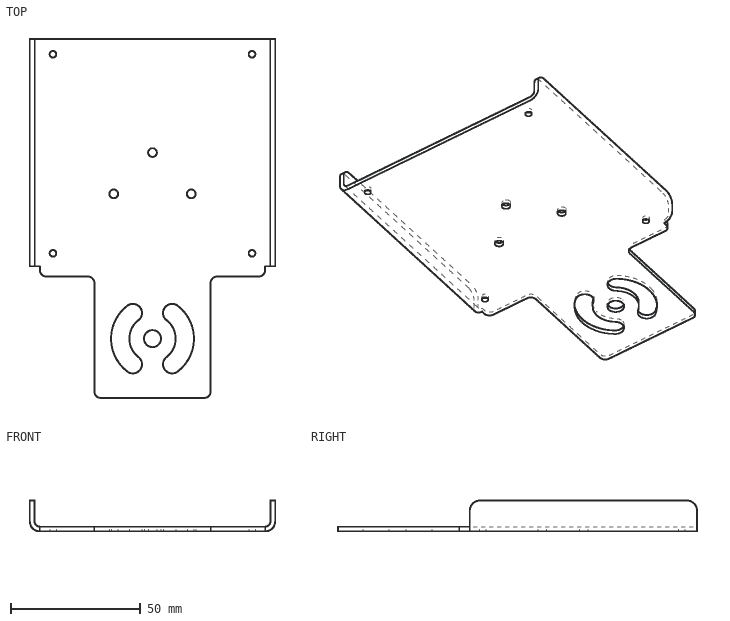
import cadquery as cq
import math

thickness = 1.9
overall_width = 95.0
overall_length = 139.0
flange_height = 12.0

inner_bend_radius = 2.0
outer_bend_radius = inner_bend_radius + thickness
flange_length = 88.0
flange_corner_radius = 4.0

plate_width = overall_width - 2 * outer_bend_radius
plate_length = 92.0
tongue_width = 45.0
outline_corner_radius = 2.5

corner_hole_diameter = 2.5
corner_hole_spacing = 77.0
corner_hole_rear_margin = 6.0

mount_hole_diameter = 3.3
mount_pair_spacing = 30.0
mount_single_y = -44.0
mount_pair_y = -60.0

pivot_y = -116.0
pivot_diameter = 6.5
slot_radius = 12.5
slot_width = 7.0
slot_half_angle = 52.5


def make_flat_sheet():
    """Plate and tongue with rounded outer and inner corners at the front."""
    half_plate = plate_width / 2
    half_tongue = tongue_width / 2
    outline = [
        (-half_plate, 0),
        (half_plate, 0),
        (half_plate, -plate_length),
        (half_tongue, -plate_length),
        (half_tongue, -overall_length),
        (-half_tongue, -overall_length),
        (-half_tongue, -plate_length),
        (-half_plate, -plate_length),
    ]
    sheet = cq.Workplane("XY").polyline(outline).close().extrude(thickness)
    front_corners = sheet.edges("|Z").edges("not(>Y)")
    return front_corners.fillet(outline_corner_radius)


def make_right_flange():
    """Bend and upright wall on the +X side, with rounded top corners."""
    outer_x = overall_width / 2
    inner_x = outer_x - thickness
    bend_x = outer_x - outer_bend_radius
    bend_z = outer_bend_radius
    diagonal = math.sqrt(0.5)
    outer_offset = outer_bend_radius * diagonal
    inner_offset = inner_bend_radius * diagonal
    outer_mid = (bend_x + outer_offset, bend_z - outer_offset)
    inner_mid = (bend_x + inner_offset, bend_z - inner_offset)
    flange = (
        cq.Workplane("XZ")
        .moveTo(bend_x, 0)
        .threePointArc(outer_mid, (outer_x, bend_z))
        .lineTo(outer_x, flange_height)
        .lineTo(inner_x, flange_height)
        .lineTo(inner_x, bend_z)
        .threePointArc(inner_mid, (bend_x, thickness))
        .close()
        .extrude(flange_length)
    )
    top_corners = flange.faces(">Z").edges("|X")
    return top_corners.fillet(flange_corner_radius)


def make_hole_cutter(centers, diameter):
    """Round pins that cut through the sheet at the given centers."""
    return cq.Workplane("XY").pushPoints(centers).circle(diameter / 2).extrude(thickness)


def make_right_slot_cutter():
    """Curved slot on the +X side of the pivot, with round ends."""

    def polar_point(radius, angle_degrees):
        angle = math.radians(angle_degrees)
        return (radius * math.cos(angle), pivot_y + radius * math.sin(angle))

    outer_radius = slot_radius + slot_width / 2
    inner_radius = slot_radius - slot_width / 2
    end_angle = math.radians(slot_half_angle)
    cap_radius = slot_width / 2
    end_x, end_y = polar_point(slot_radius, slot_half_angle)
    upper_cap_mid = (end_x - cap_radius * math.sin(end_angle), end_y + cap_radius * math.cos(end_angle))
    lower_cap_mid = (upper_cap_mid[0], 2 * pivot_y - upper_cap_mid[1])
    return (
        cq.Workplane("XY")
        .moveTo(*polar_point(outer_radius, -slot_half_angle))
        .threePointArc(polar_point(outer_radius, 0), polar_point(outer_radius, slot_half_angle))
        .threePointArc(upper_cap_mid, polar_point(inner_radius, slot_half_angle))
        .threePointArc(polar_point(inner_radius, 0), polar_point(inner_radius, -slot_half_angle))
        .threePointArc(lower_cap_mid, polar_point(outer_radius, -slot_half_angle))
        .close()
        .extrude(thickness)
    )


right_flange = make_right_flange()
body = make_flat_sheet().union(right_flange).union(right_flange.mirror("YZ"))

corner_x = corner_hole_spacing / 2
corner_rear_y = -corner_hole_rear_margin
corner_front_y = corner_rear_y - corner_hole_spacing
corner_centers = [(x, y) for x in (-corner_x, corner_x) for y in (corner_rear_y, corner_front_y)]
mount_x = mount_pair_spacing / 2
mount_centers = [(0, mount_single_y), (-mount_x, mount_pair_y), (mount_x, mount_pair_y)]

body = body.cut(make_hole_cutter(corner_centers, corner_hole_diameter))
body = body.cut(make_hole_cutter(mount_centers, mount_hole_diameter))
body = body.cut(make_hole_cutter([(0, pivot_y)], pivot_diameter))

right_slot = make_right_slot_cutter()
result = body.cut(right_slot).cut(right_slot.mirror("YZ"))